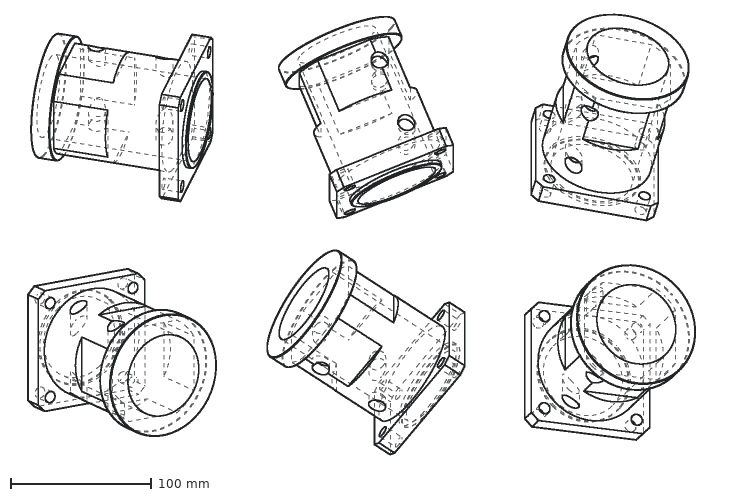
import cadquery as cq

total_length = 112.5
flange_thickness = 14.0
neck_length = 40.0
plate_thickness = 14.0
spigot_length = 3.0

outer_size = 90.0
body_diameter = 80.0
spigot_diameter = 70.0
bore_diameter = 60.0
neck_across_flats = 69.0

plate_corner_chamfer = 5.5
rim_chamfer = 0.5

bolt_hole_diameter = 8.2
bolt_spacing = 70.0
cross_hole_diameter = 12.0
cross_hole_offset = 20.8
first_cross_hole_x = 30.2
cross_hole_pitch = 50.0

neck_end = flange_thickness + neck_length
plate_end = total_length - spigot_length
plate_start = plate_end - plate_thickness


def section_at(x):
    """Workplane facing +X at station x, centred on the bore axis."""
    return cq.Workplane("YZ", origin=(x, 0, 0))


flange = section_at(0).circle(outer_size / 2).extrude(flange_thickness)
flange = flange.edges().chamfer(rim_chamfer)

neck = section_at(flange_thickness).circle(body_diameter / 2).extrude(neck_length)
flats = section_at(flange_thickness).rect(neck_across_flats, neck_across_flats).extrude(neck_length)
neck = neck.intersect(flats)

body = section_at(neck_end).circle(body_diameter / 2).extrude(plate_start - neck_end)

plate = section_at(plate_start).rect(outer_size, outer_size).extrude(plate_thickness)
plate = plate.edges("|X").chamfer(plate_corner_chamfer)

spigot = section_at(plate_end).circle(spigot_diameter / 2).extrude(spigot_length)
spigot = spigot.faces(">X").edges().chamfer(rim_chamfer)

result = flange.union(neck).union(body).union(plate).union(spigot)

result = result.cut(section_at(0).circle(bore_diameter / 2).extrude(total_length))

bolt_holes = (
    section_at(plate_start)
    .rect(bolt_spacing, bolt_spacing, forConstruction=True)
    .vertices()
    .circle(bolt_hole_diameter / 2)
    .extrude(plate_thickness)
)
result = result.cut(bolt_holes)

cross_holes = (
    cq.Workplane("XY")
    .pushPoints([(first_cross_hole_x + i * cross_hole_pitch, cross_hole_offset) for i in range(2)])
    .circle(cross_hole_diameter / 2)
    .extrude(body_diameter / 2, both=True)
)
result = result.cut(cross_holes)